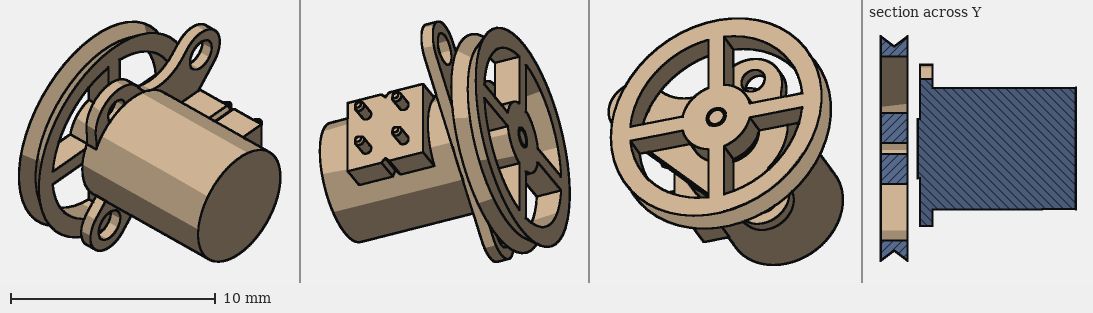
import cadquery as cq
import math


WHEEL_WIDTH = 1.31
WHEEL_DIAMETER = 11.0
WHEEL_RADIUS = WHEEL_DIAMETER / 2
GROOVE_RADIUS = 5.01
RIM_INNER_RADIUS = 4.5
HUB_RADIUS = 1.8
SPOKE_WIDTH = 0.8
SPOKE_ANGLES = (0, 90)
BORE_RADIUS = 0.5

SHAFT_RADIUS = 0.4
BOSS_RADIUS = 1.52
BOSS_START = 1.8
FLANGE_START = 1.92
FLANGE_THICKNESS = 0.62
MOTOR_RADIUS = 3.01
MOTOR_END = 9.52

EAR_RADIUS = 1.39
EAR_HOLE_RADIUS = 0.79
UPPER_EAR = (4.96, 2.71)
LOWER_EAR = (-1.7, -3.95)
LOBE_CENTER = (-0.98, 2.42)
LOBE_RADIUS = 1.73
LOBE_HOLE_CENTER = (-1.2, 2.89)
LOBE_HOLE_RADIUS = 0.6
VALLEY_RADIUS = 2.33
VALLEY_Y = 1.93
VALLEY_BLEND_RADIUS = 1.39
WAIST_RADIUS = VALLEY_RADIUS
WAIST_END_Z = 1.37

BLOCK_CENTER_X = 5.73
BLOCK_LENGTH = 4.04
BLOCK_HEIGHT = 4.0
BLOCK_END_Y = 3.59
NOTCH_WIDTH = 0.41
NOTCH_DEPTH = NOTCH_WIDTH / 2
PIN_RADIUS = 0.25
PIN_END_Y = 4.59
PIN_PITCH = 2.0
PIN_TIP_LENGTH = 0.17
PIN_TIP_INSET = 0.1


def disc(radius, start, end):
    """Cylinder on the X axis between two X positions."""
    return cq.Workplane("YZ", origin=(start, 0, 0)).circle(radius).extrude(end - start)


def toward(start, target, distance):
    """Point at a given distance from start, in the direction of target."""
    dy = target[0] - start[0]
    dz = target[1] - start[1]
    ratio = distance / math.hypot(dy, dz)
    return (start[0] + dy * ratio, start[1] + dz * ratio)


def at_angle(center, radius, degrees):
    """Point on a circle."""
    angle = math.radians(degrees)
    return (center[0] + radius * math.cos(angle), center[1] + radius * math.sin(angle))


def circles_meet(center_a, radius_a, center_b, radius_b):
    """Meeting point of two circles that lies to the left when looking from center a to center b."""
    span = math.dist(center_a, center_b)
    along = (span**2 + radius_a**2 - radius_b**2) / (2 * span)
    across = math.sqrt(radius_a**2 - along**2)
    foot = toward(center_a, center_b, along)
    unit_y = (center_b[0] - center_a[0]) / span
    unit_z = (center_b[1] - center_a[1]) / span
    return (foot[0] - across * unit_z, foot[1] + across * unit_y)


def arc_middle(center, radius, start, end):
    """Middle of the shorter arc between two points of a circle."""
    chord_middle = ((start[0] + end[0]) / 2, (start[1] + end[1]) / 2)
    return toward(center, chord_middle, radius)


def make_wheel():
    rim = (
        cq.Workplane("XY")
        .moveTo(0, RIM_INNER_RADIUS)
        .lineTo(0, WHEEL_RADIUS)
        .lineTo(WHEEL_WIDTH / 2, GROOVE_RADIUS)
        .lineTo(WHEEL_WIDTH, WHEEL_RADIUS)
        .lineTo(WHEEL_WIDTH, RIM_INNER_RADIUS)
        .close()
        .revolve(360, (0, 0, 0), (1, 0, 0))
    )
    wheel = rim.union(disc(HUB_RADIUS, 0, WHEEL_WIDTH))

    bar_length = RIM_INNER_RADIUS + GROOVE_RADIUS
    bar = cq.Workplane("XY").box(WHEEL_WIDTH, bar_length, SPOKE_WIDTH).translate((WHEEL_WIDTH / 2, 0, 0))
    for angle in SPOKE_ANGLES:
        wheel = wheel.union(bar.rotate((0, 0, 0), (1, 0, 0), angle))

    return wheel.cut(disc(BORE_RADIUS, 0, WHEEL_WIDTH))


def make_flange():
    axis = (0, 0)

    upper_ear_outer = at_angle(UPPER_EAR, EAR_RADIUS, -45)
    upper_ear_tip = at_angle(UPPER_EAR, EAR_RADIUS, 45)
    upper_ear_inner = at_angle(UPPER_EAR, EAR_RADIUS, 135)
    lower_ear_outer = at_angle(LOWER_EAR, EAR_RADIUS, -45)
    lower_ear_tip = at_angle(LOWER_EAR, EAR_RADIUS, 225)
    lower_ear_inner = at_angle(LOWER_EAR, EAR_RADIUS, 135)

    valley_rise = UPPER_EAR[1] - UPPER_EAR[0] + math.sqrt(2) * (EAR_RADIUS + VALLEY_RADIUS)
    valley_center = (VALLEY_Y, VALLEY_Y + valley_rise)
    valley_start = at_angle(valley_center, VALLEY_RADIUS, -45)

    blend_center = circles_meet(
        valley_center,
        VALLEY_RADIUS - VALLEY_BLEND_RADIUS,
        LOBE_CENTER,
        LOBE_RADIUS + VALLEY_BLEND_RADIUS,
    )
    valley_end = toward(valley_center, blend_center, VALLEY_RADIUS)
    lobe_start = toward(LOBE_CENTER, blend_center, LOBE_RADIUS)

    waist_end = (-math.sqrt(MOTOR_RADIUS**2 - WAIST_END_Z**2), WAIST_END_Z)
    waist_center = circles_meet(waist_end, WAIST_RADIUS, LOBE_CENTER, LOBE_RADIUS + WAIST_RADIUS)
    lobe_end = toward(LOBE_CENTER, waist_center, LOBE_RADIUS)
    lobe_middle = at_angle(LOBE_CENTER, LOBE_RADIUS, 90)

    side_offset = (lower_ear_inner[1] - lower_ear_inner[0]) / math.sqrt(2)
    side_foot = at_angle(axis, side_offset, 135)
    side_start = at_angle(side_foot, math.sqrt(MOTOR_RADIUS**2 - side_offset**2), 225)

    outline = (
        cq.Workplane("YZ", origin=(FLANGE_START, 0, 0))
        .moveTo(*upper_ear_outer)
        .threePointArc(upper_ear_tip, upper_ear_inner)
        .lineTo(*valley_start)
        .threePointArc(arc_middle(valley_center, VALLEY_RADIUS, valley_start, valley_end), valley_end)
        .threePointArc(arc_middle(blend_center, VALLEY_BLEND_RADIUS, valley_end, lobe_start), lobe_start)
        .threePointArc(lobe_middle, lobe_end)
        .threePointArc(arc_middle(waist_center, WAIST_RADIUS, lobe_end, waist_end), waist_end)
        .threePointArc(arc_middle(axis, MOTOR_RADIUS, waist_end, side_start), side_start)
        .lineTo(*lower_ear_inner)
        .threePointArc(lower_ear_tip, lower_ear_outer)
        .close()
    )
    flange = outline.extrude(FLANGE_THICKNESS)

    ear_holes = (
        cq.Workplane("YZ", origin=(FLANGE_START, 0, 0))
        .pushPoints([UPPER_EAR, LOWER_EAR])
        .circle(EAR_HOLE_RADIUS)
        .extrude(FLANGE_THICKNESS)
    )
    lobe_hole = (
        cq.Workplane("YZ", origin=(FLANGE_START, 0, 0))
        .center(*LOBE_HOLE_CENTER)
        .circle(LOBE_HOLE_RADIUS)
        .extrude(FLANGE_THICKNESS)
    )
    return flange.cut(ear_holes).cut(lobe_hole)


def make_terminal_block():
    block = (
        cq.Workplane("XY")
        .box(BLOCK_LENGTH, BLOCK_END_Y, BLOCK_HEIGHT)
        .translate((BLOCK_CENTER_X, BLOCK_END_Y / 2, 0))
    )
    for side in (1, -1):
        face_z = side * BLOCK_HEIGHT / 2
        notch = (
            cq.Workplane("XZ")
            .moveTo(BLOCK_CENTER_X - NOTCH_WIDTH / 2, face_z)
            .lineTo(BLOCK_CENTER_X, face_z - side * NOTCH_DEPTH)
            .lineTo(BLOCK_CENTER_X + NOTCH_WIDTH / 2, face_z)
            .close()
            .extrude(-BLOCK_END_Y)
        )
        block = block.cut(notch)
    return block


def make_pin(x, z):
    """Terminal pin along +Y with a tapered tip, rooted in the motor."""
    return (
        cq.Workplane("XZ", origin=(x, 0, z))
        .circle(PIN_RADIUS)
        .extrude(-PIN_END_Y)
        .faces(">Y")
        .chamfer(PIN_TIP_LENGTH, PIN_TIP_INSET)
    )


def make_motor():
    motor = disc(MOTOR_RADIUS, FLANGE_START + FLANGE_THICKNESS, MOTOR_END)
    motor = motor.union(make_flange())
    motor = motor.union(disc(BOSS_RADIUS, BOSS_START, FLANGE_START))
    motor = motor.union(disc(SHAFT_RADIUS, 0, BOSS_START))
    motor = motor.union(make_terminal_block())
    for side_x in (-1, 1):
        for side_z in (-1, 1):
            pin = make_pin(BLOCK_CENTER_X + side_x * PIN_PITCH / 2, side_z * PIN_PITCH / 2)
            motor = motor.union(pin)
    return motor


wheel = make_wheel()
motor = make_motor()

result = cq.Compound.makeCompound([wheel.val(), motor.val()])